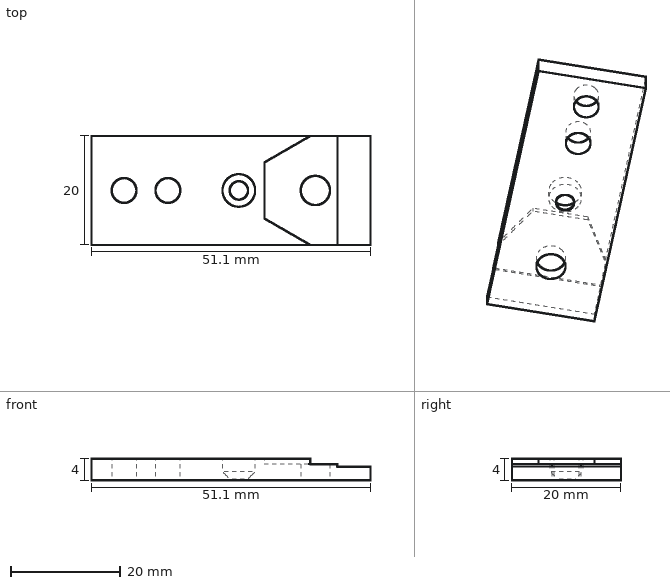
import cadquery as cq
import math

length = 51.1
width = 20.0
thickness = 4.0

recess_depth = 1.0
recess_flat_x = 31.65
recess_flat_width = 10.2
recess_flank_angle = 30.0
end_step_depth = 1.5
end_step_x = 45.0

pin_hole_diameter = 4.5
pin_hole_positions = (6.0, 14.0)
large_hole_diameter = 5.3
large_hole_x = 41.0
screw_x = 27.0
screw_hole_diameter = 3.3
screw_head_diameter = 6.0
screw_head_depth = 2.4
screw_cone_angle = 90.0


def stepped_plate():
    """Plate with a flared recess and a lower full-width end step."""
    plate = cq.Workplane("XY").box(length, width, thickness, centered=(False, True, False))
    half_width = width / 2
    half_flat = recess_flat_width / 2
    flank_run = (half_width - half_flat) / math.tan(math.radians(recess_flank_angle))
    flank_end_x = recess_flat_x + flank_run
    recess = (
        cq.Workplane("XY", origin=(0, 0, thickness - recess_depth))
        .polyline([
            (recess_flat_x, -half_flat),
            (flank_end_x, -half_width),
            (length, -half_width),
            (length, half_width),
            (flank_end_x, half_width),
            (recess_flat_x, half_flat),
        ])
        .close()
        .extrude(recess_depth)
    )
    end_step = (
        cq.Workplane("XY", origin=(end_step_x, 0, thickness - end_step_depth))
        .box(length - end_step_x, width, end_step_depth, centered=(False, True, False))
    )
    return plate.cut(recess).cut(end_step)


def through_hole(x, diameter):
    return cq.Workplane("XY").center(x, 0).circle(diameter / 2).extrude(thickness)


def screw_hole():
    """Through hole with a straight head bore that ends in a conical seat."""
    head_radius = screw_head_diameter / 2
    hole_radius = screw_hole_diameter / 2
    seat_z = thickness - screw_head_depth
    cone_height = (head_radius - hole_radius) / math.tan(math.radians(screw_cone_angle / 2))
    cone_end_z = seat_z - cone_height
    return (
        cq.Workplane("XZ", origin=(screw_x, 0, 0))
        .polyline([
            (0, 0),
            (hole_radius, 0),
            (hole_radius, cone_end_z),
            (head_radius, seat_z),
            (head_radius, thickness),
            (0, thickness),
        ])
        .close()
        .revolve(360, (0, 0, 0), (0, 1, 0))
    )


result = stepped_plate().cut(screw_hole()).cut(through_hole(large_hole_x, large_hole_diameter))
for pin_x in pin_hole_positions:
    result = result.cut(through_hole(pin_x, pin_hole_diameter))